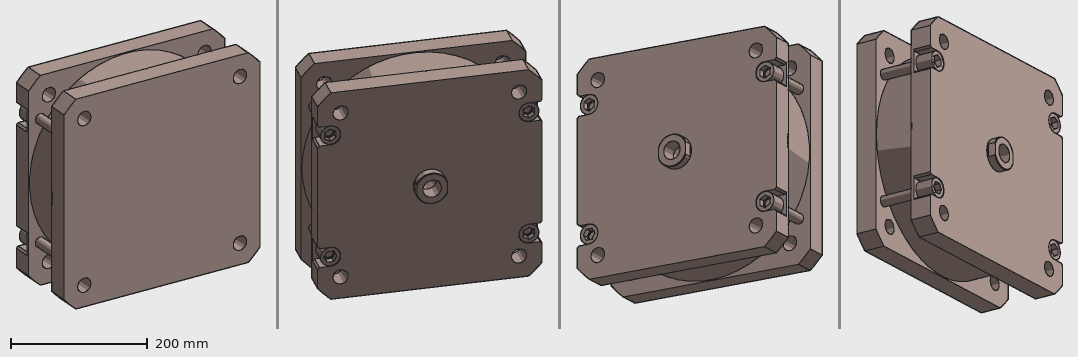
import cadquery as cq
import math

plate_side = 340.0
plate_thickness = 34.0
plate_corner_diameter = 453.0
mount_hole_diameter = 22.8
mount_hole_offset = 135.0

drum_diameter = 337.3
drum_length = 63.0

screw_y = 150.3
screw_z = 100.0
head_diameter = 30.0
head_recess = 0.7
rod_diameter = 16.3
socket_across_flats = 17.0
socket_depth = 10.2
socket_pilot_diameter = 14.3
socket_pilot_depth = 12.0

slot_width = 31.0
mouth_chamfer = 3.0
slot_depth = 29.0

shaft_diameter = 50.0
shaft_protrusion = 14.0
shaft_chamfer = 1.0
shaft_flat_spacing = 46.0
shaft_collar = 1.5
bore_diameter = 28.0
bore_depth = 27.2
bore_tip_angle = 118.0

drum_start = plate_thickness
rear_plate_start = drum_start + drum_length
shaft_tip = -shaft_protrusion

screw_places = [(-1, -1, 90), (-1, 1, 90), (1, -1, 0), (1, 1, 90)]


def cylinder_x(diameter, start, end, y=0.0, z=0.0):
    """Cylinder along X between two X positions."""
    return cq.Workplane("YZ", origin=(start, y, z)).circle(diameter / 2).extrude(end - start)


def make_plate(start):
    """End plate with rounded-off corners and four mounting holes."""
    plate = cq.Workplane("YZ", origin=(start, 0, 0)).rect(plate_side, plate_side).extrude(plate_thickness)
    plate = plate.intersect(cylinder_x(plate_corner_diameter, start, start + plate_thickness))
    hole_spacing = 2 * mount_hole_offset
    return (
        plate.faces("<X")
        .workplane(centerOption="CenterOfBoundBox")
        .rect(hole_spacing, hole_spacing, forConstruction=True)
        .vertices()
        .hole(mount_hole_diameter)
    )


def make_head_slot(y_side, z_side):
    """Round-ended slot for a screw head, open to the plate side through a chamfered mouth."""
    half_width = slot_width / 2
    half_mouth = half_width + mouth_chamfer
    center_y = y_side * screw_y
    edge_y = y_side * plate_side / 2
    mouth_start_y = edge_y - y_side * mouth_chamfer
    return (
        cq.Workplane("YZ", origin=(0, 0, z_side * screw_z))
        .moveTo(center_y, half_width)
        .lineTo(mouth_start_y, half_width)
        .lineTo(edge_y, half_mouth)
        .lineTo(edge_y, -half_mouth)
        .lineTo(mouth_start_y, -half_width)
        .lineTo(center_y, -half_width)
        .threePointArc((center_y - y_side * half_width, 0), (center_y, half_width))
        .close()
        .extrude(slot_depth)
    )


def make_front_plate():
    """End plate with the shaft hole, and a slot and a rod hole for each screw."""
    plate = make_plate(0).cut(cylinder_x(shaft_diameter, 0, plate_thickness))
    for y_side, z_side, _ in screw_places:
        rod_hole = cylinder_x(rod_diameter, slot_depth, plate_thickness, y_side * screw_y, z_side * screw_z)
        plate = plate.cut(make_head_slot(y_side, z_side)).cut(rod_hole)
    return plate


def make_screw(y_side, z_side, socket_turn):
    """Socket-head screw that reaches from the front plate to the face of the rear plate.

    A shallow round pilot lies below its hexagon socket.
    """
    y = y_side * screw_y
    z = z_side * screw_z
    head = cylinder_x(head_diameter, head_recess, slot_depth, y, z)
    rod = cylinder_x(rod_diameter, slot_depth, rear_plate_start, y, z)
    socket_across_corners = socket_across_flats / math.cos(math.radians(30))
    socket = (
        cq.Workplane("YZ", origin=(head_recess, y, z))
        .transformed(rotate=(0, 0, socket_turn))
        .polygon(6, socket_across_corners)
        .extrude(socket_depth)
    )
    pilot = cylinder_x(socket_pilot_diameter, head_recess, head_recess + socket_pilot_depth, y, z)
    return head.union(rod).cut(socket).cut(pilot)


def make_shaft():
    """Shaft end through the front plate, with two flats and a drilled bore."""
    shaft = cylinder_x(shaft_diameter, shaft_tip, drum_start).faces("<X").chamfer(shaft_chamfer)

    flat_length = shaft_protrusion - shaft_collar
    between_flats = cq.Workplane("YZ", origin=(shaft_tip, 0, 0)).rect(shaft_flat_spacing, shaft_diameter)
    around_flats = cq.Workplane("YZ", origin=(shaft_tip, 0, 0)).rect(2 * shaft_diameter, 2 * shaft_diameter)
    shaft = shaft.cut(around_flats.extrude(flat_length).cut(between_flats.extrude(flat_length)))

    bore_radius = bore_diameter / 2
    bore_end = shaft_tip + bore_depth
    bore_tip = bore_end + bore_radius / math.tan(math.radians(bore_tip_angle / 2))
    bore = (
        cq.Workplane("XY")
        .polyline([(shaft_tip, 0), (shaft_tip, bore_radius), (bore_end, bore_radius), (bore_tip, 0)])
        .close()
        .revolve(360, (0, 0), (1, 0))
    )
    return shaft.cut(bore)


front_plate = make_front_plate()
rear_plate = make_plate(rear_plate_start)
drum = cylinder_x(drum_diameter, drum_start, rear_plate_start)
shaft = make_shaft()
screws = [make_screw(*place) for place in screw_places]

result = cq.Compound.makeCompound(
    [front_plate.val(), rear_plate.val(), drum.val(), shaft.val(), *[screw.val() for screw in screws]]
)